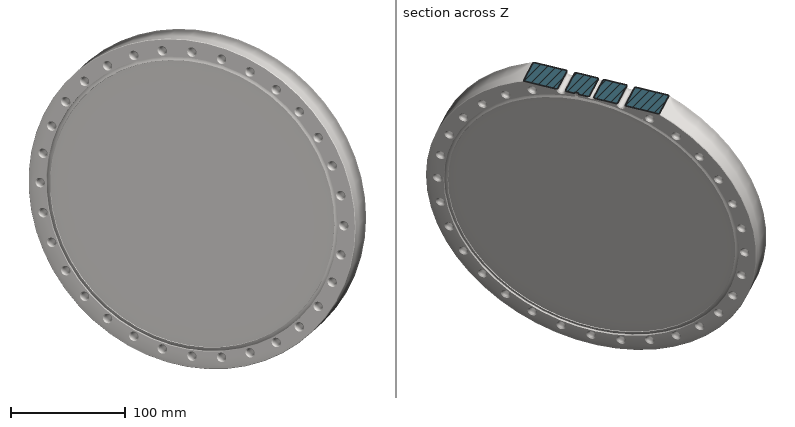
import cadquery as cq
import math

outer_radius = 153.0
thickness = 26.0
front_y = -thickness / 2
back_y = thickness / 2
rim_chamfer = 0.5

bolt_count = 32
bolt_circle_radius = 142.0
bolt_hole_diameter = 6.8
bolt_chamfer = 1.0
bolt_pitch_angle = 360.0 / bolt_count

recess_radius = 136.5
knife_radius = 133.0
knife_slope_angle = 20.0
knife_tip_depth = 0.7
floor_depth = 1.2
floor_radius = 132.8

leak_groove_width = 3.0
leak_groove_depth = 1.5
leak_groove_angle = bolt_pitch_angle / 2


def make_disc():
    disc = cq.Workplane("XZ", origin=(0, back_y, 0)).circle(outer_radius).extrude(thickness)
    return disc.faces("<Y or >Y").edges().chamfer(rim_chamfer)


def make_recess():
    """Revolved cutter for the front: wall, conical flank out to the knife edge, then the flat floor."""
    slope_drop = (recess_radius - knife_radius) * math.tan(math.radians(knife_slope_angle))
    profile = (
        cq.Workplane("XY")
        .moveTo(0, front_y)
        .lineTo(recess_radius, front_y)
        .lineTo(recess_radius, front_y + knife_tip_depth + slope_drop)
        .lineTo(knife_radius, front_y + knife_tip_depth)
        .lineTo(floor_radius, front_y + floor_depth)
        .lineTo(0, front_y + floor_depth)
        .close()
    )
    return profile.revolve(360, (0, 0, 0), (0, 1, 0))


def make_bolt_hole():
    """Revolved cutter: through hole with a chamfer at both faces, on the Y axis."""
    hole_radius = bolt_hole_diameter / 2
    mouth_radius = hole_radius + bolt_chamfer
    profile = (
        cq.Workplane("XY")
        .moveTo(0, front_y)
        .lineTo(mouth_radius, front_y)
        .lineTo(hole_radius, front_y + bolt_chamfer)
        .lineTo(hole_radius, back_y - bolt_chamfer)
        .lineTo(mouth_radius, back_y)
        .lineTo(0, back_y)
        .close()
    )
    return profile.revolve(360, (0, 0, 0), (0, 1, 0))


def make_leak_groove():
    """Box cutter from the recess wall out through the rim."""
    start_radius = math.sqrt(recess_radius**2 - (leak_groove_width / 2) ** 2)
    length = outer_radius - start_radius
    return (
        cq.Workplane("XY")
        .box(leak_groove_width, leak_groove_depth, length, centered=(True, False, False))
        .translate((0, back_y - leak_groove_depth, start_radius))
        .rotate((0, 0, 0), (0, 1, 0), leak_groove_angle)
    )


front_recess = make_recess()
back_recess = front_recess.mirror("XZ")
result = make_disc().cut(front_recess).cut(back_recess)
bolt_hole = make_bolt_hole().translate((0, 0, bolt_circle_radius))
for index in range(bolt_count):
    result = result.cut(bolt_hole.rotate((0, 0, 0), (0, 1, 0), index * bolt_pitch_angle))
result = result.cut(make_leak_groove())